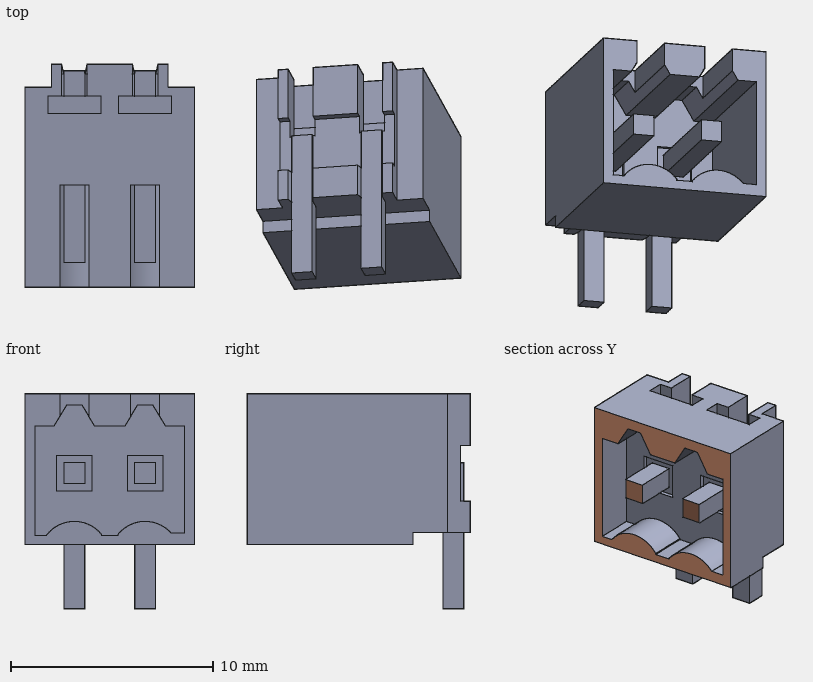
import cadquery as cq
import math


WIDTH = 8.4
LENGTH = 11.05
HEIGHT = 7.47
BODY_LENGTH = 9.91
REAR_BLOCK_WIDTH = 5.77
STEP_START = 8.21
STEP_HEIGHT = 0.6

PITCH = 3.5
POLES = [-PITCH / 2, PITCH / 2]
PIN_SIZE = 1.04
PIN_AXIS_Z = 3.54
PIN_TOP = PIN_AXIS_Z + PIN_SIZE / 2
PIN_TIP_Y = 1.23
PIN_REAR_Y = 10.73
PIN_DROP = 3.18
LEG_FRONT_Y = PIN_REAR_Y - PIN_SIZE

CAVITY_WIDTH = 7.39
CAVITY_DEPTH = 7.51
CAVITY_TOP = HEIGHT - 1.59
FLOOR_Z = 0.45
RIGHT_FLOOR_Z = 0.57
BUMP_RADIUS = 1.72
BUMP_TOP = 1.15
MIDDLE_FLOOR_WIDTH = 0.82

GROOVE_TOP = HEIGHT - 0.57
GROOVE_TOP_WIDTH = 0.76
GROOVE_BASE_WIDTH = 1.99
SLOT_WIDTH = 1.43
SLOT_LENGTH = 5.06

RECESS_SIZE = 1.76
RECESS_DEPTH = 0.22

NOTCH_DEPTH = 0.49
NOTCH_BOTTOM = 2.15
NOTCH_TOP = 4.9
NOTCH_FLOOR_Y = LENGTH - NOTCH_DEPTH
POCKET_WIDTH = 2.62
POCKET_FRONT_Y = 8.61
POCKET_REAR_Y = 9.47
POCKET_FLOOR = NOTCH_TOP
REAR_SLOT_WIDTH = 1.26


def block(x_center, width, y_start, y_end, z_bottom, z_top):
    """Box centred on x_center in X and running between the given Y and Z limits."""
    size = cq.Workplane("XY").box(width, y_end - y_start, z_top - z_bottom, centered=(True, False, False))
    return size.translate((x_center, y_start, z_bottom))


def extrude_rearward(profile, depth):
    """Extrude a closed XZ outline from the mating face toward +Y."""
    return profile.extrude(-depth)


def outer_shape():
    """Stepped housing body with the narrower, notched rear block."""
    body = block(0, WIDTH, 0, BODY_LENGTH, 0, HEIGHT)
    rear_block = block(0, REAR_BLOCK_WIDTH, BODY_LENGTH, LENGTH, 0, HEIGHT)
    step = block(0, WIDTH, STEP_START, LENGTH, 0, STEP_HEIGHT)
    notch = block(0, REAR_BLOCK_WIDTH, NOTCH_FLOOR_Y, LENGTH, NOTCH_BOTTOM, NOTCH_TOP)
    return body.union(rear_block).cut(step).cut(notch)


def cavity():
    """Mating cavity whose floor carries one round bump under each pole."""
    bump_center_z = BUMP_TOP - BUMP_RADIUS
    left_reach = math.sqrt(BUMP_RADIUS**2 - (FLOOR_Z - bump_center_z) ** 2)
    right_reach = math.sqrt(BUMP_RADIUS**2 - (RIGHT_FLOOR_Z - bump_center_z) ** 2)
    half_middle = MIDDLE_FLOOR_WIDTH / 2
    bump_end_z = bump_center_z + math.sqrt(BUMP_RADIUS**2 - (PITCH / 2 - half_middle) ** 2)
    half_width = CAVITY_WIDTH / 2
    left_pole, right_pole = POLES
    profile = (
        cq.Workplane("XZ")
        .moveTo(-half_width, CAVITY_TOP)
        .lineTo(-half_width, FLOOR_Z)
        .lineTo(left_pole - left_reach, FLOOR_Z)
        .threePointArc((left_pole, BUMP_TOP), (-half_middle, bump_end_z))
        .lineTo(-half_middle, FLOOR_Z)
        .lineTo(half_middle, FLOOR_Z)
        .lineTo(half_middle, bump_end_z)
        .threePointArc((right_pole, BUMP_TOP), (right_pole + right_reach, RIGHT_FLOOR_Z))
        .lineTo(half_width, RIGHT_FLOOR_Z)
        .lineTo(half_width, CAVITY_TOP)
        .close()
    )
    return extrude_rearward(profile, CAVITY_DEPTH)


def coding_groove(x):
    """Tapered groove along the cavity roof."""
    profile = (
        cq.Workplane("XZ")
        .moveTo(x - GROOVE_BASE_WIDTH / 2, CAVITY_TOP)
        .lineTo(x - GROOVE_TOP_WIDTH / 2, GROOVE_TOP)
        .lineTo(x + GROOVE_TOP_WIDTH / 2, GROOVE_TOP)
        .lineTo(x + GROOVE_BASE_WIDTH / 2, CAVITY_TOP)
        .close()
    )
    return extrude_rearward(profile, CAVITY_DEPTH)


def roof_slot(x):
    """Slot that opens the front of a coding groove through the roof."""
    return block(x, SLOT_WIDTH, 0, SLOT_LENGTH, CAVITY_TOP, HEIGHT)


def pin_recess(x):
    """Shallow square recess around a pin in the cavity back wall."""
    half = RECESS_SIZE / 2
    recess_end = CAVITY_DEPTH + RECESS_DEPTH
    return block(x, RECESS_SIZE, CAVITY_DEPTH, recess_end, PIN_AXIS_Z - half, PIN_AXIS_Z + half)


def rear_opening(x):
    """Top pocket and the slot that runs from it out of the rear face, down to the pin."""
    pocket = block(x, POCKET_WIDTH, POCKET_FRONT_Y, POCKET_REAR_Y, POCKET_FLOOR, HEIGHT)
    slot = block(x, REAR_SLOT_WIDTH, POCKET_REAR_Y, LENGTH, PIN_TOP, HEIGHT)
    return pocket.union(slot)


def pin_channel(x):
    """Snug hole for the straight pin leg and a rear channel, flared at its mouth, for the tail."""
    hole = block(x, PIN_SIZE, CAVITY_DEPTH, LEG_FRONT_Y, PIN_TOP - PIN_SIZE, PIN_TOP)
    half_snug = PIN_SIZE / 2
    half_mouth = REAR_SLOT_WIDTH / 2
    channel = (
        cq.Workplane("XY")
        .moveTo(x - half_snug, LEG_FRONT_Y)
        .lineTo(x - half_snug, NOTCH_FLOOR_Y)
        .lineTo(x - half_mouth, LENGTH)
        .lineTo(x + half_mouth, LENGTH)
        .lineTo(x + half_snug, NOTCH_FLOOR_Y)
        .lineTo(x + half_snug, LEG_FRONT_Y)
        .close()
        .extrude(PIN_TOP)
    )
    return hole.union(channel)


def make_housing():
    """Complete housing with the openings of both poles."""
    housing = outer_shape().cut(cavity())
    for x in POLES:
        housing = housing.cut(coding_groove(x))
        housing = housing.cut(roof_slot(x))
        housing = housing.cut(pin_recess(x))
        housing = housing.cut(rear_opening(x))
        housing = housing.cut(pin_channel(x))
    return housing


def make_pin(x):
    """Square pin bent down at the rear."""
    contact_leg = block(x, PIN_SIZE, PIN_TIP_Y, PIN_REAR_Y, PIN_TOP - PIN_SIZE, PIN_TOP)
    tail = block(x, PIN_SIZE, LEG_FRONT_Y, PIN_REAR_Y, -PIN_DROP, PIN_TOP)
    return contact_leg.union(tail).clean()


housing = make_housing()
pins = [make_pin(x) for x in POLES]

result = cq.Compound.makeCompound([housing.solids().val(), *[pin.solids().val() for pin in pins]])